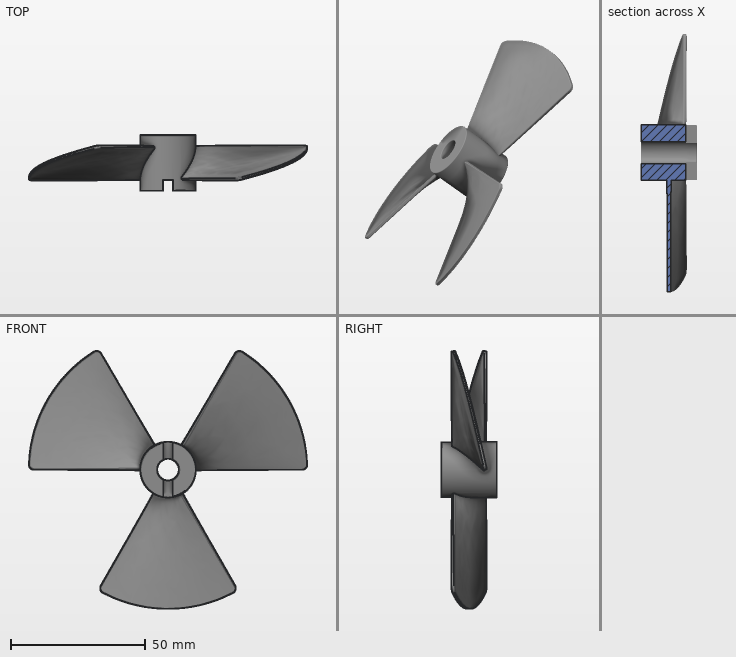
import cadquery as cq
import math

hub_diameter = 20.8
hub_length = 20.8
hub_edge_radius = 0.3
bore_diameter = 8.0
slot_width = 3.7
slot_depth = 4.0

blade_count = 3
blade_tip_radius = 51.85
blade_root_radius = 8.0
blade_span_angle = 60.0
blade_rise = 12.1
blade_thickness = 1.3
blade_corner_radius = 2.0
blade_edge_radius = 0.3


def make_hub():
    """Round-edged cylinder on the Y axis with a through bore and a drive slot across its -Y end."""
    hub = (
        cq.Workplane("XZ", origin=(0, hub_length / 2, 0))
        .circle(hub_diameter / 2)
        .circle(bore_diameter / 2)
        .extrude(hub_length)
        .edges("%CIRCLE")
        .fillet(hub_edge_radius)
    )
    slot = cq.Workplane("XY").box(slot_width, slot_depth, hub_diameter)
    slot = slot.translate((0, (slot_depth - hub_length) / 2, 0))
    return hub.cut(slot)


def helix_edge(radius):
    """Helix around Y that moves toward -Y while it turns from +X toward +Z."""

    def helix_point(t):
        angle = math.radians(blade_span_angle) * t
        return (radius * math.cos(angle), blade_rise * (0.5 - t), radius * math.sin(angle))

    return cq.Workplane("XY").parametricCurve(helix_point, N=16, makeWire=False).val()


def is_outside_hub(edge):
    """True for an edge whose centre lies farther from the origin than the hub surface."""
    return edge.Center().Length > hub_diameter / 2


def is_tip_corner(edge):
    """True for the short edges across the blade thickness at the two tip corners."""
    is_short = edge.Length() < 2 * blade_thickness
    return is_short and is_outside_hub(edge)


def make_blade():
    """Helicoid blade, thickened evenly about its mid surface, with round tip corners and round edges."""
    mid_surface = cq.Face.makeRuledSurface(helix_edge(blade_root_radius), helix_edge(blade_tip_radius))
    half_blade = cq.Workplane(obj=mid_surface.thicken(blade_thickness / 2))
    outer_surface = half_blade.faces("%OFFSET").val()
    blade = cq.Workplane(obj=outer_surface.thicken(-blade_thickness))

    corner_edges = [edge for edge in blade.edges().vals() if is_tip_corner(edge)]
    blade = blade.newObject(corner_edges).fillet(blade_corner_radius)

    rim_edges = [edge for edge in blade.faces("%OFFSET").edges().vals() if is_outside_hub(edge)]
    return blade.newObject(rim_edges).fillet(blade_edge_radius)


result = make_hub()
blade = make_blade()
for index in range(blade_count):
    turn = -index * 360 / blade_count
    result = result.union(blade.rotate((0, 0, 0), (0, 1, 0), turn))